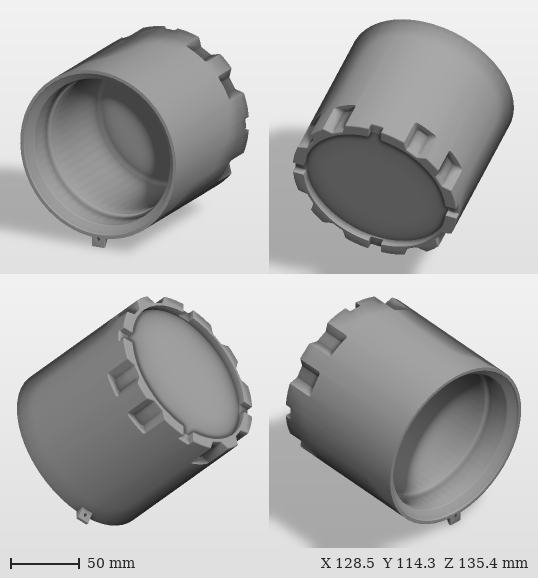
import cadquery as cq
import math

LENGTH = 114.3
OUTER_RADIUS = 128.52 / 2
SEAT_RADIUS = 111.51 / 2
BORE_RADIUS = 106.68 / 2
MOUTH_RADIUS = 123.44 / 2
EDGE_RADIUS = 1.27
MOUTH_DEPTH = 1.27
SEAT_DEPTH = 6.1
STEP_DEPTH = 24.9
BORE_DEPTH = 27.1
FLOOR_DEPTH = 101.6
FLOOR_FILLET = 3.3
REAR_RECESS_DEPTH = 6.35
REAR_FILLET = 0.89

NOTCH_COUNT = 4
NOTCH_WIDTH = 9.78
NOTCH_DEPTH = 5.08
NOTCH_CORNER_RADIUS = 0.76

POCKET_ANGLES = [30, 60, 120, 150, 210, 240, 300, 330]
POCKET_FLOOR_RADIUS = 58.17
POCKET_FLOOR_WIDTH = 9.5
POCKET_LENGTH = 22.6
POCKET_CORNER_RADIUS = 2.03

TAB_WIDTH = 9.78
TAB_BOTTOM = 71.12
TAB_TIP_THICKNESS = 2.03
TAB_SLOPE_ANGLE = 32
TAB_HOLE_DIAMETER = 2.64
TAB_HOLE_DROP = 65.0

TOLERANCE = 0.01
CLEARANCE = 5.0


def revolved(points):
    """Revolve a closed (radius, Y) outline about the Y axis."""
    return cq.Workplane("XY").polyline(points).close().revolve(360, (0, 0), (0, 1))


def about_axis(shape, angle):
    return shape.rotate((0, 0, 0), (0, 1, 0), angle)


def make_shell():
    return cq.Workplane("XZ").circle(OUTER_RADIUS).extrude(-LENGTH)


def make_front_bore():
    """Stepped bore, narrowing from the mouth to the seat and from the seat to the bore."""
    bore = revolved([
        (0, 0),
        (MOUTH_RADIUS, 0),
        (MOUTH_RADIUS, MOUTH_DEPTH),
        (SEAT_RADIUS, SEAT_DEPTH),
        (SEAT_RADIUS, STEP_DEPTH),
        (BORE_RADIUS, BORE_DEPTH),
        (BORE_RADIUS, FLOOR_DEPTH),
        (0, FLOOR_DEPTH),
    ])
    return bore.faces(">Y").edges().fillet(FLOOR_FILLET)


def round_bore_shoulders(body):
    shoulder_depths = [MOUTH_DEPTH, SEAT_DEPTH, STEP_DEPTH, BORE_DEPTH]
    shoulders = body.edges("%CIRCLE").filter(
        lambda edge: any(abs(edge.Center().y - depth) < TOLERANCE for depth in shoulder_depths)
    )
    return shoulders.fillet(EDGE_RADIUS)


def make_rear_recess():
    recess = cq.Workplane("XZ").circle(SEAT_RADIUS).extrude(-REAR_RECESS_DEPTH)
    return recess.translate((0, LENGTH - REAR_RECESS_DEPTH, 0))


def make_notch():
    """Slot through the rim on the +Z side."""
    notch = cq.Workplane("XY").box(
        NOTCH_WIDTH, NOTCH_DEPTH + CLEARANCE, OUTER_RADIUS + CLEARANCE, centered=(True, False, False)
    )
    rounded = notch.faces("<Y").edges("|Z").fillet(NOTCH_CORNER_RADIUS)
    return rounded.translate((0, LENGTH - NOTCH_DEPTH, 0))


def make_pocket():
    """Pocket on the +Z side with a flat floor and sides flaring at 45 degrees."""
    top = OUTER_RADIUS + CLEARANCE
    half_floor = POCKET_FLOOR_WIDTH / 2
    half_top = half_floor + top - POCKET_FLOOR_RADIUS
    pocket = (
        cq.Workplane("XZ")
        .polyline([
            (-half_floor, POCKET_FLOOR_RADIUS),
            (half_floor, POCKET_FLOOR_RADIUS),
            (half_top, top),
            (-half_top, top),
        ])
        .close()
        .extrude(-POCKET_LENGTH - CLEARANCE)
        .translate((0, LENGTH - POCKET_LENGTH, 0))
    )
    end_edges = pocket.faces("<Y").edges("not #Z")
    return end_edges.fillet(POCKET_CORNER_RADIUS)


def round_rear_outline(body):
    """Round the outer edge of the rear rim, following it through notches and pockets."""
    def on_rear_outline(edge):
        box = edge.BoundingBox()
        middle = edge.positionAt(0.5)
        radius = math.hypot(middle.x, middle.z)
        on_rear_face = box.ymin > LENGTH - TOLERANCE
        in_notch = box.ymin > LENGTH - NOTCH_DEPTH - TOLERANCE
        on_outside = radius > OUTER_RADIUS - TOLERANCE
        in_pocket = on_rear_face and radius > POCKET_FLOOR_RADIUS - TOLERANCE
        beside_notch = abs(math.sin(2 * math.atan2(middle.x, middle.z))) < 0.2
        return (in_notch and on_outside) or (in_pocket and not beside_notch)

    return body.edges().filter(on_rear_outline).fillet(REAR_FILLET)


def make_tab():
    root = (OUTER_RADIUS + MOUTH_RADIUS) / 2
    root_thickness = TAB_TIP_THICKNESS + (TAB_BOTTOM - root) * math.tan(math.radians(TAB_SLOPE_ANGLE))
    return (
        cq.Workplane("YZ")
        .polyline([
            (0, -root),
            (root_thickness, -root),
            (TAB_TIP_THICKNESS, -TAB_BOTTOM),
            (0, -TAB_BOTTOM),
        ])
        .close()
        .extrude(TAB_WIDTH / 2, both=True)
    )


def make_tab_hole():
    hole = cq.Workplane("XZ").circle(TAB_HOLE_DIAMETER / 2).extrude(2 * CLEARANCE, both=True)
    return hole.rotate((0, 0, 0), (1, 0, 0), -TAB_SLOPE_ANGLE).translate((0, 0, -TAB_HOLE_DROP))


body = make_shell().cut(make_front_bore())
body = round_bore_shoulders(body)
body = body.cut(make_rear_recess())
for index in range(NOTCH_COUNT):
    body = body.cut(about_axis(make_notch(), index * 360 / NOTCH_COUNT))
for angle in POCKET_ANGLES:
    body = body.cut(about_axis(make_pocket(), angle))
body = round_rear_outline(body)
result = body.union(make_tab()).cut(make_tab_hole())